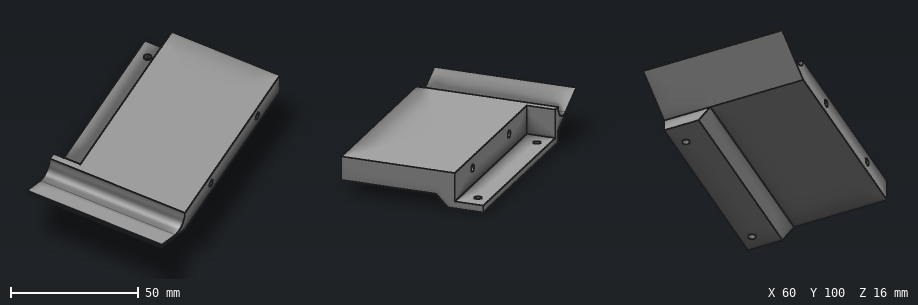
import cadquery as cq
import math

width = 60.0
body_length = 80.0
body_top = 15.0
plate_bottom = 5.0

foot_width = 15.0
foot_flank = plate_bottom

ledge_width = 12.0
ledge_length = 77.0
ledge_height = 3.0

lip_reach = 20.0
lip_top = 16.0
lip_end_height = 1.0
lip_end_flat = 0.6
groove_radius = 5.5

hole_diameter = 3.0
ledge_hole_x = 5.0
ledge_hole_offsets = (7.0, 70.0)
side_hole_z = 10.0
side_hole_offsets = (19.0, 58.0)


def make_body():
    """Plate and foot, with the -Y wall at Y = 0."""
    outline = [
        (0, 0),
        (foot_width, 0),
        (foot_width + foot_flank, plate_bottom),
        (width, plate_bottom),
        (width, body_top),
        (0, body_top),
    ]
    return cq.Workplane("XZ").polyline(outline).close().extrude(-body_length)


def make_lip():
    """Thin lip whose upper face runs tangentially out of a round groove."""
    center_y = -groove_radius
    center_z = body_top
    edge_y = lip_end_flat - lip_reach

    run = center_y - edge_y
    rise = lip_top - center_z
    slope = math.atan2(rise, run) + math.asin(groove_radius / math.hypot(run, rise))

    def groove_point(angle):
        """Point on the groove, with the angle measured from its lowest point toward -Y."""
        return (
            center_y - groove_radius * math.sin(angle),
            center_z - groove_radius * math.cos(angle),
        )

    return (
        cq.Workplane("YZ")
        .moveTo(0, plate_bottom)
        .lineTo(0, body_top)
        .threePointArc(groove_point(slope / 2 - math.pi / 4), groove_point(slope))
        .lineTo(edge_y, lip_top)
        .lineTo(-lip_reach, lip_top)
        .lineTo(-lip_reach, lip_top - lip_end_height)
        .close()
        .extrude(width)
    )


def make_ledge_cut():
    return cq.Workplane("XY").box(
        ledge_width, ledge_length, body_top - ledge_height, centered=False
    ).translate((0, body_length - ledge_length, ledge_height))


def make_holes(plane, centers, depth):
    return cq.Workplane(plane).pushPoints(centers).circle(hole_diameter / 2).extrude(depth)


ledge_hole_centers = [(ledge_hole_x, body_length - offset) for offset in ledge_hole_offsets]
side_hole_centers = [(body_length - offset, side_hole_z) for offset in side_hole_offsets]

result = (
    make_body()
    .union(make_lip())
    .cut(make_ledge_cut())
    .cut(make_holes("XY", ledge_hole_centers, body_top))
    .cut(make_holes("YZ", side_hole_centers, width))
)